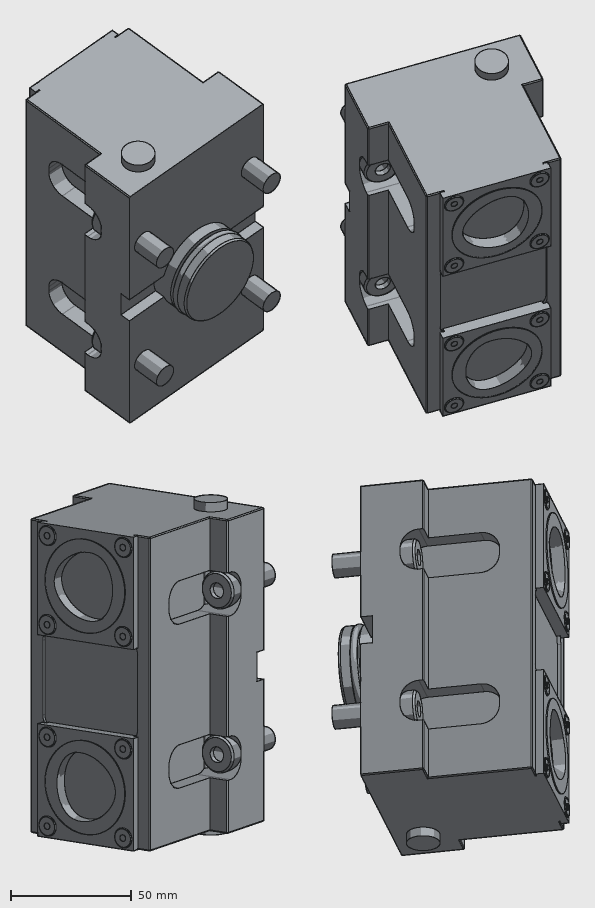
import cadquery as cq
import math


height = 134.0
wide_width = 78.0
narrow_width = 60.0
narrow_face_x = -71.0
step_x = -26.75
edge_chamfer = 0.5

plate_size = 48.0
plate_thickness = 3.5
socket_z = height / 2 - plate_size / 2
plate_face_x = narrow_face_x - plate_thickness
tongue_width = 44.0
raised_height = 0.5
outer_face_x = plate_face_x - raised_height
ring_diameter = 40.0
socket_mean_radius = 14.65
socket_lobe_height = 0.7
socket_lobes = 3
socket_outline_steps = 36
socket_depth = 5.5

screw_pitch = 38.0
screw_head_diameter = 8.6
screw_head_chamfer = 0.4
screw_mark_diameter = 2.8
screw_mark_depth = 0.2

panel_width = 47.5
panel_height = 44.0
panel_corner_radius = 6.0
panel_depth = 1.5

bolt_y = 31.0
bolt_z = 35.0
bolt_diameter = 10.0
bolt_end_x = 13.0
bolt_head_diameter = 16.0
bolt_head_x = -23.0
bolt_head_length = 10.0
bolt_head_chamfer_length = 1.0
bolt_head_chamfer_radial = 0.75
bolt_hole_diameter = 6.7
bolt_hole_depth = 2.5
bolt_hole_cone_depth = 2.0
slot_start_x = -57.0
slot_end_x = -16.75
slot_height = 18.5
slot_corner_radius = 8.0
slot_floor_y = 22.5

spigot_diameter = 39.8
spigot_length = 14.0
spigot_chamfer_length = 1.0
spigot_chamfer_radial = 0.5
groove_start_x = 5.0
groove_end_x = 9.0
groove_diameter = 35.5
seal_section_radius = 1.5
seal_outer_diameter = 40.7
key_slot_width = 12.5
key_slot_depth = 5.0

pin_x = -13.0
pin_y = -21.2
pin_diameter = 14.0
pin_length = 142.0


def box(x_range, y_range, z_range):
    """Axis-aligned block between the given limits."""
    size = [high - low for low, high in (x_range, y_range, z_range)]
    corner = (x_range[0], y_range[0], z_range[0])
    return cq.Workplane("XY").box(*size, centered=False).translate(corner)


def centred_box(x_range, width, tall, z=0.0):
    """Block centred on Y = 0 and on the given Z."""
    return box(x_range, (-width / 2, width / 2), (z - tall / 2, z + tall / 2))


def cylinder_x(x_start, x_end, diameter, y=0.0, z=0.0):
    """Cylinder along X between two X positions."""
    plane = cq.Workplane("YZ", origin=(x_start, y, z))
    return plane.circle(diameter / 2).extrude(x_end - x_start)


def revolve_about_x(profile, y=0.0, z=0.0):
    """Turn a list of (x, radius) points about an axis along X at the given Y and Z."""
    turned = cq.Workplane("XY").polyline(profile).close().revolve(360, (0, 0, 0), (1, 0, 0))
    return turned.translate((0, y, z))


def make_housing():
    narrow = centred_box((narrow_face_x, 0), narrow_width, height)
    wide = centred_box((step_x, 0), wide_width, height)
    housing = narrow.union(wide)

    def is_chamfered(edge):
        middle = edge.Center()
        on_mounting_face = math.isclose(middle.x, 0, abs_tol=1e-6)
        on_step = math.isclose(middle.x, step_x, abs_tol=1e-6)
        at_inner_corner = on_step and math.isclose(abs(middle.y), narrow_width / 2, abs_tol=1e-6)
        return not on_mounting_face and not at_inner_corner

    return housing.edges().filter(is_chamfered).chamfer(edge_chamfer)


def make_panel_recess():
    recess = centred_box((narrow_face_x, narrow_face_x + panel_depth), panel_width, panel_height)
    return recess.edges("|X").fillet(panel_corner_radius)


def make_access_slot(side, z):
    y_range = sorted((side * slot_floor_y, side * wide_width / 2))
    z_range = (z - slot_height / 2, z + slot_height / 2)
    return box((slot_start_x, slot_end_x), y_range, z_range).edges("|Y").fillet(slot_corner_radius)


def make_bolt(side, z):
    head_radius = bolt_head_diameter / 2
    profile = [
        (bolt_head_x + bolt_hole_depth + bolt_hole_cone_depth, 0),
        (bolt_head_x + bolt_hole_depth, bolt_hole_diameter / 2),
        (bolt_head_x, bolt_hole_diameter / 2),
        (bolt_head_x, head_radius - bolt_head_chamfer_radial),
        (bolt_head_x + bolt_head_chamfer_length, head_radius),
        (bolt_head_x + bolt_head_length, head_radius),
        (bolt_head_x + bolt_head_length, bolt_diameter / 2),
        (bolt_end_x, bolt_diameter / 2),
        (bolt_end_x, 0),
    ]
    return revolve_about_x(profile, side * bolt_y, z)


def make_plate(end):
    z = end * socket_z
    plate = centred_box((plate_face_x, narrow_face_x), plate_size, plate_size, z)
    tongue = centred_box((narrow_face_x, narrow_face_x + panel_depth), tongue_width, plate_size, z)
    ring = cylinder_x(outer_face_x, plate_face_x, ring_diameter, 0, z)
    plate = plate.union(tongue).union(ring)
    for y_side in (-1, 1):
        for z_side in (-1, 1):
            screw = make_screw_head(y_side * screw_pitch / 2, z + z_side * screw_pitch / 2)
            plate = plate.union(screw)
    return plate


def make_screw_head(y, z):
    radius = screw_head_diameter / 2
    mark_radius = screw_mark_diameter / 2
    profile = [
        (plate_face_x, 0),
        (outer_face_x + screw_mark_depth, 0),
        (outer_face_x + screw_mark_depth, mark_radius),
        (outer_face_x, mark_radius),
        (outer_face_x, radius - screw_head_chamfer),
        (outer_face_x + screw_head_chamfer, radius),
        (plate_face_x, radius),
    ]
    return revolve_about_x(profile, y, z)


def make_socket_bore(end):
    """Rounded three-lobed bore; one lobe points towards +Y at the top and -Y at the bottom."""

    def outline(angle):
        offset = socket_mean_radius + socket_lobe_height * math.cos(socket_lobes * angle)
        slope = -socket_lobes * socket_lobe_height * math.sin(socket_lobes * angle)
        y = offset * math.cos(angle) - slope * math.sin(angle)
        z = offset * math.sin(angle) + slope * math.cos(angle)
        return end * y, end * z

    points = [outline(2 * math.pi * step / socket_outline_steps) for step in range(socket_outline_steps)]
    plane = cq.Workplane("YZ", origin=(outer_face_x, 0, end * socket_z))
    return plane.spline(points, periodic=True).close().extrude(socket_depth)


def make_spigot():
    radius = spigot_diameter / 2
    groove_radius = groove_diameter / 2
    profile = [
        (-key_slot_depth, 0),
        (-key_slot_depth, radius),
        (groove_start_x, radius),
        (groove_start_x, groove_radius),
        (groove_end_x, groove_radius),
        (groove_end_x, radius),
        (spigot_length - spigot_chamfer_length, radius),
        (spigot_length, radius - spigot_chamfer_radial),
        (spigot_length, 0),
    ]
    ring_x = groove_end_x - seal_section_radius
    ring_radius = seal_outer_diameter / 2 - seal_section_radius
    section = cq.Workplane("XY").center(ring_x, ring_radius).circle(seal_section_radius)
    seal = section.revolve(360, (0, -ring_radius, 0), (1, -ring_radius, 0))
    return revolve_about_x(profile).union(seal)


def make_pin():
    outline = cq.Workplane("XY").center(pin_x, pin_y).circle(pin_diameter / 2)
    return outline.extrude(pin_length / 2, both=True)


result = make_housing()
result = result.cut(make_panel_recess())
result = result.cut(centred_box((-key_slot_depth, 0), wide_width, key_slot_width))
for side in (-1, 1):
    for z in (-bolt_z, bolt_z):
        result = result.cut(make_access_slot(side, z)).union(make_bolt(side, z))
for end in (-1, 1):
    result = result.union(make_plate(end)).cut(make_socket_bore(end))
result = result.union(make_spigot()).union(make_pin())